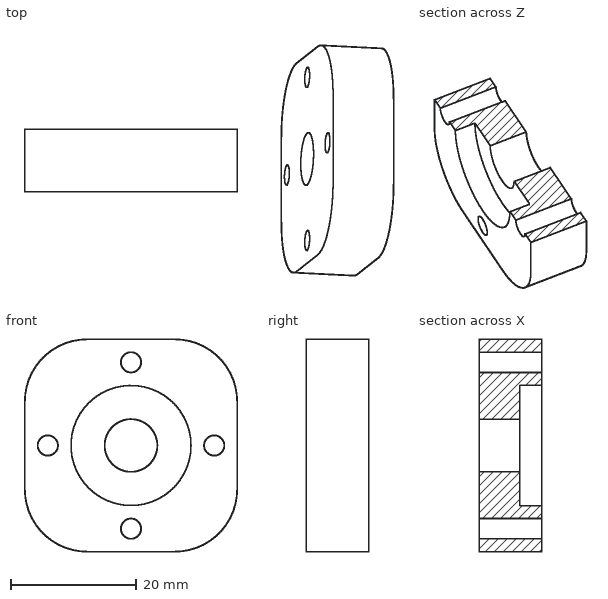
import cadquery as cq

plate_width = 34.0
plate_thickness = 10.0
corner_radius = 10.0

bore_diameter = 8.4
recess_diameter = 19.2
recess_depth = 3.5

screw_hole_diameter = 3.2
screw_circle_radius = 13.3
screw_hole_count = 4


def rounded_plate():
    """Plate with its front face on Y = 0, extending toward +Y."""
    return (
        cq.Workplane("XZ")
        .rect(plate_width, plate_width)
        .extrude(-plate_thickness)
        .edges("|Y")
        .fillet(corner_radius)
    )


def cylinder_from_front(diameter, depth):
    """Cylinder on the Y axis, running from the front face toward +Y."""
    return cq.Workplane("XZ").circle(diameter / 2).extrude(-depth)


def screw_holes():
    """Through holes evenly spaced around the bore."""
    return (
        cq.Workplane("XZ")
        .polarArray(screw_circle_radius, 0, 360, screw_hole_count)
        .circle(screw_hole_diameter / 2)
        .extrude(-plate_thickness)
    )


result = (
    rounded_plate()
    .cut(cylinder_from_front(bore_diameter, plate_thickness))
    .cut(cylinder_from_front(recess_diameter, recess_depth))
    .cut(screw_holes())
)